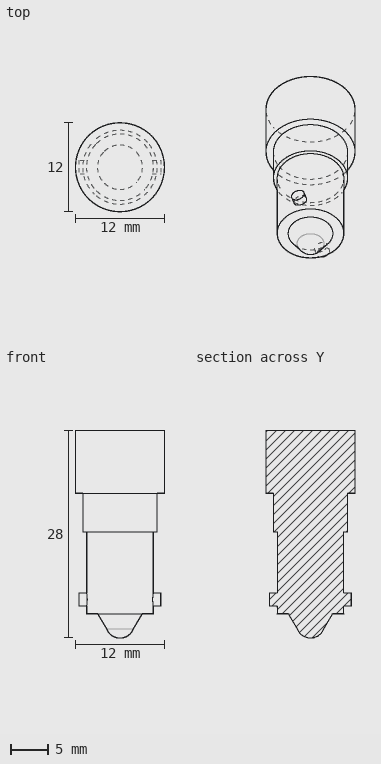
import cadquery as cq

total_height = 28.0
head_diameter = 12.0
head_height = 8.5
collar_diameter = 10.0
collar_height = 5.2
base_diameter = 9.0
base_height = 11.0

cone_top_diameter = 6.02
cone_bottom_diameter = 3.6
cone_height = 2.02

pin_diameter = 1.8
pin_span = 11.03
pin_above_base_bottom = 1.93

collar_top = total_height - head_height
base_top = collar_top - collar_height
base_bottom = base_top - base_height
cone_bottom = base_bottom - cone_height


def stepped_cylinder(diameter, bottom, height):
    return cq.Workplane("XY").workplane(offset=bottom).circle(diameter / 2).extrude(height)


def contact_tip():
    """Revolve the cone and its spherical dome around Z."""
    edge_radius = cone_bottom_diameter / 2
    dome_height = cone_bottom
    dome_radius = (edge_radius**2 + dome_height**2) / (2 * dome_height)
    mid_x = edge_radius / 2
    mid_z = dome_radius - (dome_radius**2 - mid_x**2) ** 0.5
    return (
        cq.Workplane("XZ")
        .moveTo(0, 0)
        .threePointArc((mid_x, mid_z), (edge_radius, cone_bottom))
        .lineTo(cone_top_diameter / 2, base_bottom)
        .lineTo(0, base_bottom)
        .close()
        .revolve(360, (0, 0), (0, 1))
    )


def bayonet_pins():
    """One bar through the base, whose two ends stand out as pins."""
    return (
        cq.Workplane("YZ")
        .center(0, base_bottom + pin_above_base_bottom)
        .circle(pin_diameter / 2)
        .extrude(pin_span / 2, both=True)
    )


result = (
    stepped_cylinder(head_diameter, collar_top, head_height)
    .union(stepped_cylinder(collar_diameter, base_top, collar_height))
    .union(stepped_cylinder(base_diameter, base_bottom, base_height))
    .union(contact_tip())
    .union(bayonet_pins())
)